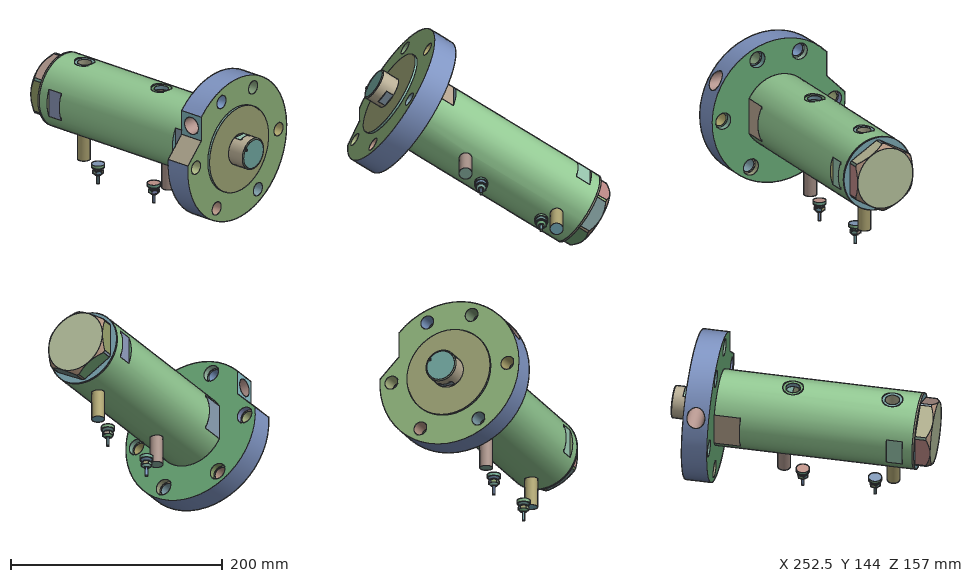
import cadquery as cq
import math

hex_end = 14.6
collar_end = 16.5
shoulder = 182.0
flange_start = 207.0
flange_end = 231.5
pilot_end = 233.8
rod_end = 251.7

total_length = 252.5
total_height = 157.0

cap_across_flats = 59.8
cap_corner_radius = 33.8
cap_chamfer = 4.0
spigot_radius = 20.2

barrel_radius = 73.0 / 2
neck_across_flats = 64.0
slot_start = 26.0
slot_end = 41.5
slot_across_flats = 67.5
chamber_start = 60.5
chamber_end = 171.7
chamber_radius = 31.5

port_x = [41.7, 137.0]
port_radius = 6.8
spotface_radius = 9.8
spotface_level = 35.0

spigot_end = port_x[0]
piston_start = port_x[1]

flange_radius = 72.0
pilot_radius = 43.0
notch_y = -52.3
notch_z = 25.0
cross_hole_radius = 8.5
cross_hole_z = 37.0
bolt_circle_radius = 120.0 / 2
bolt_angles = [0, 67.5, 112.5, 180, 240, 300]
bolt_hole_radius = 6.5
bolt_counterbore_radius = 8.0
bolt_counterbore_depth = 6.3

rod_radius = 31.0 / 2
rod_across_flats = 27.8
rod_flat_end = 241.6
rod_chamfer_length = 0.8
rod_chamfer_inset = 1.3
nub_radius = 1.3
nub_y = -11.0
nub_z = 7.5
nub_height = total_length - rod_end

pin_x = [40.7, 145.7]
pin_radius = 12.4 / 2
pin_top = -33.8
pin_bottom = -64.6

sensor_x = [58.3, 127.8]
sensor_head_radius = 6.3
sensor_head_height = 3.3
sensor_shoulder_radius = 5.5
sensor_neck_radius = 3.3
sensor_neck_top = -69.7
sensor_nut_top = -71.0
sensor_nut_bottom = -74.2
sensor_nut_corner_diameter = 10.5
sensor_nut_turn_angle = -9.5
sensor_nut_chamfer = 0.8
sensor_cone_radius = 4.5
sensor_cone_tip_radius = 2.5
sensor_cone_bottom = -76.3
sensor_lead_radius = 1.3
sensor_bottom = flange_radius - total_height


def x_cylinder(start, end, radius, y=0.0, z=0.0):
    """Cylinder parallel to X between two stations."""
    return cq.Workplane("YZ", origin=(start, y, z)).circle(radius).extrude(end - start)


def z_cylinder(bottom, top, radius, x):
    """Upright cylinder whose axis crosses the X axis."""
    return cq.Workplane("XY", origin=(x, 0, bottom)).circle(radius).extrude(top - bottom)


def slab(start, end, y_size, z_size):
    """Box centred on the X axis between two stations."""
    return cq.Workplane("YZ", origin=(start, 0, 0)).rect(y_size, z_size).extrude(end - start)


def make_cap():
    corner_diameter = cap_across_flats / math.cos(math.radians(30))
    head = (
        cq.Workplane("YZ")
        .transformed(rotate=(0, 0, 90))
        .polygon(6, corner_diameter)
        .extrude(hex_end)
    )
    blank = x_cylinder(0, hex_end, cap_corner_radius).faces("<X").chamfer(cap_chamfer)
    collar = x_cylinder(hex_end, collar_end, barrel_radius)
    spigot = x_cylinder(collar_end, spigot_end, spigot_radius)
    return head.intersect(blank).union(collar).union(spigot)


def make_barrel():
    barrel = x_cylinder(collar_end, shoulder, barrel_radius)
    slot_ring = slab(slot_start, slot_end, 2 * flange_radius, 2 * barrel_radius).cut(
        slab(slot_start, slot_end, slot_across_flats, 2 * barrel_radius)
    )
    neck = x_cylinder(shoulder, flange_start, barrel_radius).intersect(
        slab(shoulder, flange_start, neck_across_flats, 2 * barrel_radius)
    )
    return barrel.cut(slot_ring).union(neck)


def make_flange():
    flange = x_cylinder(flange_start, flange_end, flange_radius)
    notch_run = flange_radius
    notch = (
        cq.Workplane("YZ", origin=(flange_start, 0, 0))
        .moveTo(notch_y, notch_z)
        .lineTo(notch_y, flange_radius)
        .lineTo(notch_y - notch_run, flange_radius)
        .lineTo(notch_y - notch_run, notch_z - notch_run)
        .close()
        .extrude(flange_end - flange_start)
    )
    cross_hole = (
        cq.Workplane("XZ", origin=((flange_start + flange_end) / 2, 0, cross_hole_z))
        .circle(cross_hole_radius)
        .extrude(flange_radius, both=True)
    )
    flange = flange.cut(notch).cut(cross_hole)
    for angle in bolt_angles:
        y = bolt_circle_radius * math.cos(math.radians(angle))
        z = bolt_circle_radius * math.sin(math.radians(angle))
        counterbore_end = flange_start + bolt_counterbore_depth
        flange = flange.cut(x_cylinder(flange_start, flange_end, bolt_hole_radius, y, z))
        flange = flange.cut(x_cylinder(flange_start, counterbore_end, bolt_counterbore_radius, y, z))
    return flange.union(x_cylinder(flange_end, pilot_end, pilot_radius))


def make_housing():
    housing = make_barrel().union(make_flange())
    housing = housing.cut(x_cylinder(collar_end, chamber_start, spigot_radius))
    housing = housing.cut(x_cylinder(chamber_start, chamber_end, chamber_radius))
    housing = housing.cut(x_cylinder(chamber_end, pilot_end, rod_radius))
    for x in port_x:
        housing = housing.cut(z_cylinder(0, barrel_radius, port_radius, x))
        housing = housing.cut(z_cylinder(spotface_level, barrel_radius, spotface_radius, x))
    for x in pin_x:
        housing = housing.cut(z_cylinder(-barrel_radius, pin_top, pin_radius, x))
    return housing


def make_piston_rod():
    tail = x_cylinder(spigot_end, piston_start, spigot_radius)
    piston = x_cylinder(piston_start, chamber_end, chamber_radius)
    rod = x_cylinder(chamber_end, rod_end, rod_radius)
    rod = rod.faces(">X").chamfer(rod_chamfer_length, rod_chamfer_inset)
    flats = slab(pilot_end, rod_flat_end, 2 * rod_radius, 2 * rod_radius).cut(
        slab(pilot_end, rod_flat_end, 2 * rod_radius, rod_across_flats)
    )
    nub = x_cylinder(rod_end, rod_end + nub_height, nub_radius, nub_y, nub_z)
    return tail.union(piston).union(rod.cut(flats)).union(nub)


def make_pin(x):
    return z_cylinder(pin_bottom, pin_top, pin_radius, x)


def make_sensor(x):
    head_bottom = pin_bottom - sensor_head_height
    turned = (
        cq.Workplane("XZ")
        .moveTo(0, pin_bottom)
        .lineTo(sensor_head_radius, pin_bottom)
        .lineTo(sensor_head_radius, head_bottom)
        .lineTo(sensor_shoulder_radius, head_bottom)
        .lineTo(sensor_neck_radius, sensor_neck_top)
        .lineTo(sensor_neck_radius, sensor_nut_bottom)
        .lineTo(sensor_cone_radius, sensor_nut_bottom)
        .lineTo(sensor_cone_tip_radius, sensor_cone_bottom)
        .lineTo(sensor_lead_radius, sensor_cone_bottom)
        .lineTo(sensor_lead_radius, sensor_bottom)
        .lineTo(0, sensor_bottom)
        .close()
        .revolve(360, (0, 0, 0), (0, 1, 0))
    )
    nut = (
        cq.Workplane("XY", origin=(0, 0, sensor_nut_bottom))
        .transformed(rotate=(0, 0, sensor_nut_turn_angle))
        .polygon(6, sensor_nut_corner_diameter)
        .extrude(sensor_nut_top - sensor_nut_bottom)
    )
    blank = z_cylinder(sensor_nut_bottom, sensor_nut_top, sensor_nut_corner_diameter / 2, 0)
    nut = nut.intersect(blank.faces(">Z").chamfer(sensor_nut_chamfer))
    return turned.union(nut).translate((x, 0, 0))


cap = make_cap()
housing = make_housing()
piston_rod = make_piston_rod()
pins = [make_pin(x) for x in pin_x]
sensors = [make_sensor(x) for x in sensor_x]

result = cq.Compound.makeCompound(
    [cap.val(), housing.val(), piston_rod.val()]
    + [pin.val() for pin in pins]
    + [sensor.val() for sensor in sensors]
)